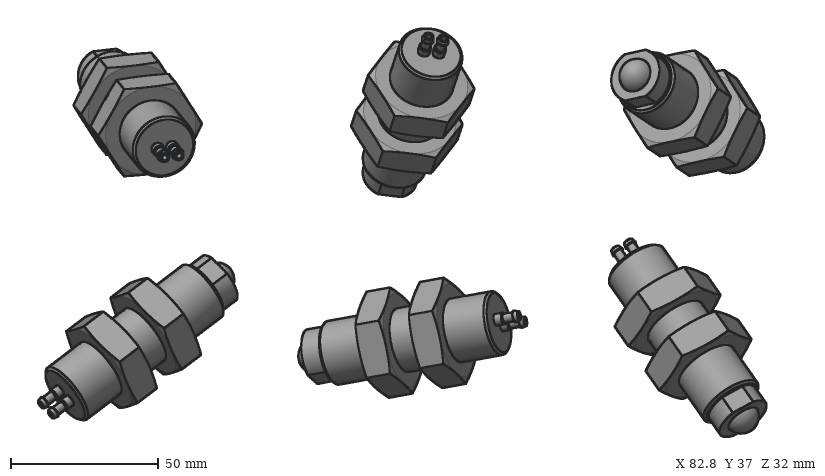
import cadquery as cq
import math

total_length = 82.8
collar_start = 4.8
body_start = 11.75
body_end = 74.2

dome_diameter = 12.0
collar_diameter = 18.9
collar_across_flats = 17.05

body_diameter = 22.0
body_chamfer = 0.8

nut_starts = (28.4, 48.3)
nut_thickness = 10.0
nut_across_flats = 32.0
nut_across_corners = nut_across_flats / math.cos(math.pi / 6)
nut_chamfer_depth = 0.7

pin_spacing = 5.1
pin_base_diameter = 4.05
pin_stem_diameter = 3.2
pin_neck_diameter = 3.15
pin_bore_diameter = 2.0
pin_base_end = 76.9
pin_stem_start = 77.3
barb_start = 81.15


def cylinder_x(diameter, start, end):
    """Solid cylinder about the X axis between two X positions."""
    return cq.Workplane("YZ", origin=(start, 0, 0)).circle(diameter / 2).extrude(end - start)


def revolve_about_x(points, axis_y=0.0):
    """Turn an (x, radius) outline about a line parallel to X."""
    turned = cq.Workplane("XY").polyline(points).close().revolve(360, (0, 0, 0), (1, 0, 0))
    return turned.translate((0, axis_y, 0))


def make_dome():
    radius = dome_diameter / 2
    ball = cq.Workplane("XY", origin=(radius, 0, 0)).sphere(radius)
    return ball.intersect(cylinder_x(dome_diameter, 0, radius))


def make_collar():
    collar = cylinder_x(collar_diameter, collar_start, body_start)
    flats = cq.Workplane("XY").box(2 * total_length, collar_diameter, collar_across_flats)
    return collar.intersect(flats)


def make_body():
    return cylinder_x(body_diameter, body_start, body_end).faces("|X").chamfer(body_chamfer)


def make_nut(start):
    end = start + nut_thickness
    flat_radius = nut_across_flats / 2
    corner_radius = nut_across_corners / 2
    hexagon = cq.Workplane("YZ", origin=(start, 0, 0)).polygon(6, nut_across_corners).extrude(nut_thickness)
    envelope = revolve_about_x([
        (start, 0),
        (start, flat_radius),
        (start + nut_chamfer_depth, corner_radius),
        (end - nut_chamfer_depth, corner_radius),
        (end, flat_radius),
        (end, 0),
    ])
    return hexagon.intersect(envelope)


def make_pin(axis_y):
    base_radius = pin_base_diameter / 2
    stem_radius = pin_stem_diameter / 2
    neck_radius = pin_neck_diameter / 2
    bore_radius = pin_bore_diameter / 2
    return revolve_about_x([
        (body_end, bore_radius),
        (body_end, base_radius),
        (pin_base_end, base_radius),
        (pin_base_end, neck_radius),
        (pin_stem_start, neck_radius),
        (pin_stem_start, stem_radius),
        (barb_start, stem_radius),
        (barb_start, base_radius),
        (total_length, stem_radius),
        (total_length, bore_radius),
    ], axis_y)


result = make_body().union(make_collar()).union(make_dome())
for nut_start in nut_starts:
    result = result.union(make_nut(nut_start))
for side in (-1, 1):
    result = result.union(make_pin(side * pin_spacing / 2))